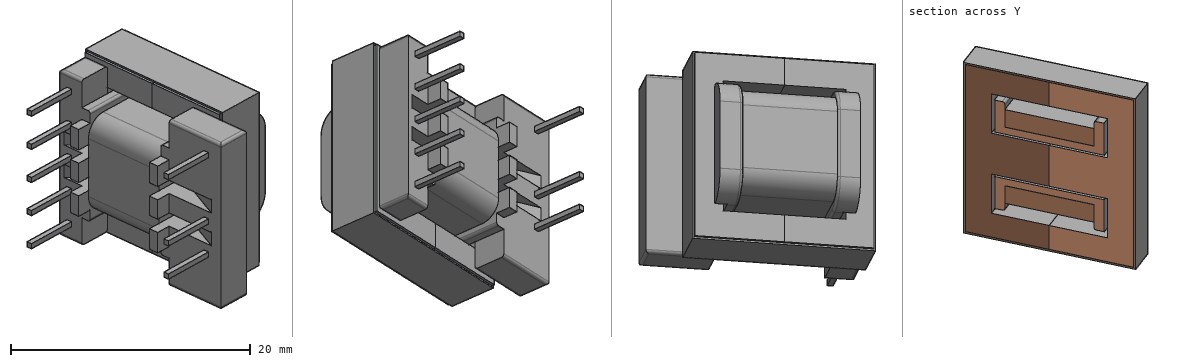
import cadquery as cq

OVERCUT = 0.19

CORE_WIDTH = 15.2
CORE_DEPTH = 4.97
CORE_HEIGHT = 16.4
LEG_THICKNESS = 2.4
WINDOW_X = CORE_WIDTH / 2 - LEG_THICKNESS
WINDOW_Z = CORE_HEIGHT / 2 - LEG_THICKNESS

TAPE_THICKNESS = 0.158
TAPE_DEPTH = 4.49

TUNNEL_Y = 2.62
TUNNEL_Z = 2.15
LEG_CLEARANCE = TUNNEL_Y - CORE_DEPTH / 2
CENTRE_LEG_Z = TUNNEL_Z - LEG_CLEARANCE
TUBE_WALL = 0.75

FLANGE_GAP = 8.0
FLANGE_IN_X = FLANGE_GAP / 2
FLANGE_OUT_X = 4.93
LIP_SPAN = 11.93
LIP_OUT_X = LIP_SPAN / 2
FLANGE_Z = 5.32
FLANGE_TOP_Y = 4.99
FLANGE_CORNER_RADIUS = 2.32
FLANGE_FILLET = 0.25
LIP_FILLET = 0.19

BLOCK_TOP_Y = -TUNNEL_Y
BLOCK_BOTTOM_Y = -5.77
BLOCK_Z = 8.0
LEFT_BLOCK_OUT_X = -7.45
RIGHT_BLOCK_OUT_X = 10.8
BLOCK_FILLET = 0.28

POST_BOTTOM_Y = -7.18
POST_ROW_Z = 4.2
SLOT_WIDTH = 1.28
SLOT_Z = 1.58
SLOT_DEPTH = 2.69
LEFT_SLOT_END_X = -6.97
RIGHT_SLOT_END_X = 9.74

PIN_SIZE = 0.5
PIN_TIP_Y = -10.7
PIN_ROW_LENGTH = 12.8
PIN_PITCH = PIN_ROW_LENGTH / 4
LEFT_PIN_X = -6.36
RIGHT_PIN_X = 9.13
LEFT_PIN_STEPS = (-2, -1, 0, 1, 2)
RIGHT_PIN_STEPS = (-1, 0, 2)

WINDING_BOTTOM_Y = -5.97
WINDING_Z = 4.6
WINDING_CORNER_RADIUS = 1.8


def box(x_range, y_range, z_range):
    """Box between two limits along each axis, given in either order."""
    sizes = [abs(b - a) for a, b in (x_range, y_range, z_range)]
    centre = [(a + b) / 2 for a, b in (x_range, y_range, z_range)]
    return cq.Workplane("XY").box(*sizes).translate(tuple(centre))


def centred_box(x_size, y_size, z_size):
    return cq.Workplane("XY").box(x_size, y_size, z_size)


def flange_profile(x, bottom_y):
    """Outline in a YZ plane, with the two corners at its top rounded."""
    radius = FLANGE_CORNER_RADIUS
    return (
        cq.Workplane("YZ", origin=(x, 0, 0))
        .moveTo(bottom_y, -FLANGE_Z)
        .lineTo(FLANGE_TOP_Y - radius, -FLANGE_Z)
        .radiusArc((FLANGE_TOP_Y, -FLANGE_Z + radius), -radius)
        .lineTo(FLANGE_TOP_Y, FLANGE_Z - radius)
        .radiusArc((FLANGE_TOP_Y - radius, FLANGE_Z), -radius)
        .lineTo(bottom_y, FLANGE_Z)
        .close()
    )


def make_flange():
    """Flange on the +X side, rounded along the rim that faces the winding."""
    thickness = FLANGE_OUT_X - FLANGE_IN_X
    plate = flange_profile(FLANGE_IN_X, BLOCK_BOTTOM_Y).extrude(thickness)
    plate = plate.faces("<X").edges("not <Y").fillet(FLANGE_FILLET)
    lip = flange_profile(FLANGE_OUT_X, TUNNEL_Y).extrude(LIP_OUT_X - FLANGE_OUT_X)
    lip = lip.faces("<Y").edges("|X").fillet(LIP_FILLET)
    return plate.union(lip)


def make_block(side, out_x):
    """Terminal block with the rims of both ends rounded, except along the flange."""
    block = box(
        (side * FLANGE_OUT_X, out_x), (BLOCK_TOP_Y, BLOCK_BOTTOM_Y), (-BLOCK_Z, BLOCK_Z)
    )
    plain_edge = "<X" if side > 0 else ">X"
    for end in (">Z", "<Z"):
        block = block.faces(end).edges(f"not {plain_edge}").fillet(BLOCK_FILLET)
    return block


def make_slot(side, end_x, z):
    """Cutter for one wire slot: a ramp rising into the block, running between two posts."""
    in_x = side * FLANGE_IN_X
    return (
        cq.Workplane("XY", origin=(0, 0, z))
        .moveTo(end_x, BLOCK_BOTTOM_Y)
        .lineTo(in_x, BLOCK_BOTTOM_Y + SLOT_DEPTH)
        .lineTo(in_x, POST_BOTTOM_Y - OVERCUT)
        .lineTo(end_x, POST_BOTTOM_Y - OVERCUT)
        .close()
        .extrude(SLOT_WIDTH / 2, both=True)
    )


def make_bobbin_side(side, block_out_x, slot_end_x, pin_x, pin_steps):
    """Flange, terminal block, posts and pins at one end; side is +1 or -1 along X."""
    flange = make_flange()
    if side < 0:
        flange = flange.mirror("YZ")
    posts = box(
        (side * FLANGE_IN_X, side * FLANGE_OUT_X),
        (BLOCK_BOTTOM_Y, POST_BOTTOM_Y),
        (-POST_ROW_Z, POST_ROW_Z),
    )
    body = flange.union(make_block(side, block_out_x)).union(posts)
    for z in (-SLOT_Z, SLOT_Z):
        body = body.cut(make_slot(side, slot_end_x, z))
    for step in pin_steps:
        pin = centred_box(PIN_SIZE, BLOCK_BOTTOM_Y - PIN_TIP_Y, PIN_SIZE)
        centre_y = (BLOCK_BOTTOM_Y + PIN_TIP_Y) / 2
        body = body.union(pin.translate((pin_x, centre_y, step * PIN_PITCH)))
    return body


def make_tube():
    """Outside of the tube that joins the flanges and carries the winding."""
    return centred_box(
        2 * FLANGE_IN_X, 2 * (TUNNEL_Y + TUBE_WALL), 2 * (TUNNEL_Z + TUBE_WALL)
    )


def make_bobbin():
    left = make_bobbin_side(
        -1, LEFT_BLOCK_OUT_X, LEFT_SLOT_END_X, LEFT_PIN_X, LEFT_PIN_STEPS
    )
    right = make_bobbin_side(
        1, RIGHT_BLOCK_OUT_X, RIGHT_SLOT_END_X, RIGHT_PIN_X, RIGHT_PIN_STEPS
    )
    tunnel = centred_box(2 * (FLANGE_OUT_X + OVERCUT), 2 * TUNNEL_Y, 2 * TUNNEL_Z)
    return make_tube().union(left).union(right).cut(tunnel)


def make_winding():
    coil = box(
        (-FLANGE_IN_X, FLANGE_IN_X),
        (WINDING_BOTTOM_Y, FLANGE_TOP_Y),
        (-WINDING_Z, WINDING_Z),
    )
    coil = coil.edges("|X").fillet(WINDING_CORNER_RADIUS)
    return coil.cut(make_tube())


def make_core_half(side):
    """E-shaped half of the core; side is +1 or -1 along X."""
    half = box(
        (0, side * CORE_WIDTH / 2),
        (-CORE_DEPTH / 2, CORE_DEPTH / 2),
        (-CORE_HEIGHT / 2, CORE_HEIGHT / 2),
    )
    window = centred_box(2 * WINDOW_X, CORE_DEPTH + 2 * OVERCUT, 2 * WINDOW_Z)
    centre_leg = box(
        (0, side * WINDOW_X),
        (-CORE_DEPTH / 2, CORE_DEPTH / 2),
        (-CENTRE_LEG_Z, CENTRE_LEG_Z),
    )
    return half.cut(window).union(centre_leg)


def make_tape():
    """Closed band of even thickness wrapped around the outside of the core."""
    outside = centred_box(
        CORE_WIDTH + 2 * TAPE_THICKNESS, TAPE_DEPTH, CORE_HEIGHT + 2 * TAPE_THICKNESS
    )
    inside = centred_box(CORE_WIDTH, TAPE_DEPTH + 2 * OVERCUT, CORE_HEIGHT)
    return outside.cut(inside)


bobbin = make_bobbin()
winding = make_winding()
core_halves = [make_core_half(side) for side in (-1, 1)]
tape = make_tape()

result = cq.Compound.makeCompound(
    [bobbin.val(), winding.val(), *[half.val() for half in core_halves], tape.val()]
)